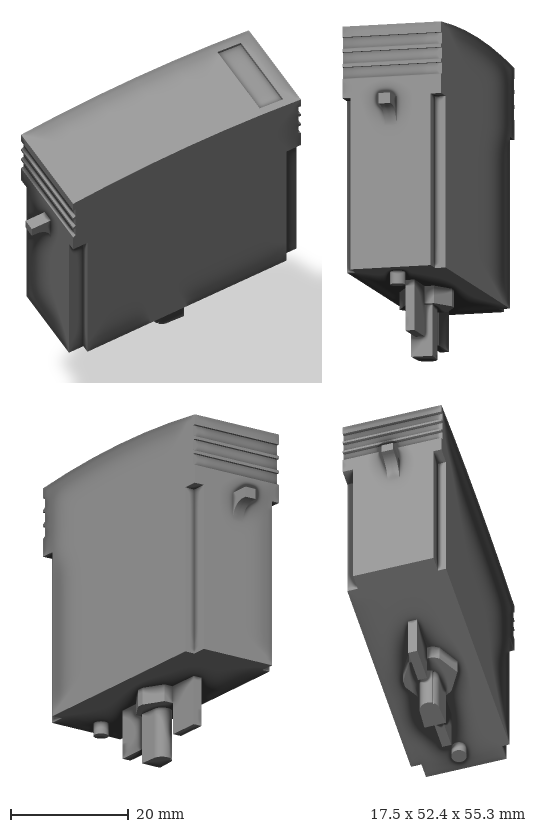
import cadquery as cq
import math

body_width = 17.5
body_depth = 44.9
body_height = 43.35
overall_height = 55.3
crown_radius = 199.95
crown_facets = 6
core_width = 14.2
core_x = 0.2

rebate_depth = 2.8
rebate_height = 29.7

groove_top = 40.25
groove_pitch = 2.6
groove_height = 1.8
groove_depth = 0.5
groove_count = 3
groove_ramp = 0.3

label_length = 4.65
label_y = 17.5
label_depth = 0.5

hook_width = 2.1
hook_reach = 3.75
hook_top = 29.55
hook_thickness = 1.8
hook_radius = 3.0

blade_thickness = 1.6
blade_depth = 6.1
blade_length = 8.75
blade_offset = 7.45
peg_diameter = 2.6
peg_length = 2.2
peg_y = 18.05
boss_across_corners = 9.8
boss_flat_distance = 4.55
boss_height = 3.05
key_length = overall_height - body_height
key_radius = 1.7
key_back_y = 3.3
key_taper = 3.0
key_groove_x = 1.0
key_groove_width = 0.2
key_groove_depth = 0.2

half_width = body_width / 2
half_depth = body_depth / 2
facet_depth = body_depth / crown_facets


def block(x_min, x_max, y_min, y_max, z_min, z_max):
    size = (x_max - x_min, y_max - y_min, z_max - z_min)
    return cq.Workplane("XY").box(*size, centered=False).translate((x_min, y_min, z_min))


def side_profile(profile, width, x_middle):
    """Extrude a closed YZ profile evenly about x_middle."""
    return profile.close().extrude(width / 2, both=True).translate((x_middle, 0, 0))


def front_and_back(feature):
    """A feature made on the front, together with its mirror image on the back."""
    return feature.union(feature.mirror("XZ"))


def crown_z(y):
    """Height of the crown circle at depth position y."""
    return body_height - crown_radius + math.sqrt(crown_radius**2 - y**2)


def crowned_body():
    ridges_y = [half_depth - index * facet_depth for index in range(crown_facets + 1)]
    crown = [(y, crown_z(y)) for y in ridges_y]
    profile = cq.Workplane("YZ").polyline([(-half_depth, 0), (half_depth, 0)] + crown)
    return side_profile(profile, body_width, 0)


def corner_rebates():
    inner_y = -half_depth + rebate_depth
    left = block(-half_width, core_x - core_width / 2, -half_depth, inner_y, 0, rebate_height)
    right = block(core_x + core_width / 2, half_width, -half_depth, inner_y, 0, rebate_height)
    return front_and_back(left.union(right))


def grip_grooves():
    grooves = cq.Workplane("YZ")
    for index in range(groove_count):
        top = groove_top - index * groove_pitch
        profile = cq.Workplane("YZ").polyline([
            (-half_depth, top),
            (-half_depth + groove_depth, top),
            (-half_depth + groove_depth, top - groove_height),
            (-half_depth, top - groove_height - groove_ramp),
        ])
        grooves = grooves.add(side_profile(profile, body_width, 0))
    return front_and_back(grooves.combine())


def label_recess():
    """Pocket with its floor parallel to the rearmost strip of the crown."""
    ridge_y = half_depth - facet_depth
    drop = crown_z(ridge_y) - crown_z(half_depth)
    slope = math.degrees(math.atan2(drop, facet_depth))
    surface_z = crown_z(half_depth) + drop * (half_depth - label_y) / facet_depth
    return (
        cq.Workplane("XY")
        .box(core_width, label_length, 2 * label_depth)
        .rotate((0, 0, 0), (1, 0, 0), -slope)
        .translate((core_x, label_y, surface_z))
    )


def latch_hooks():
    tip_y = -half_depth - hook_reach
    underside = hook_top - hook_thickness
    arc_center_y = -half_depth - hook_radius
    arc_center_z = underside - hook_radius
    arc_middle = hook_radius * math.sqrt(0.5)
    profile = (
        cq.Workplane("YZ")
        .moveTo(-half_depth, hook_top)
        .lineTo(tip_y, hook_top)
        .lineTo(tip_y, underside)
        .lineTo(arc_center_y, underside)
        .threePointArc(
            (arc_center_y + arc_middle, arc_center_z + arc_middle),
            (-half_depth, arc_center_z),
        )
    )
    return front_and_back(side_profile(profile, hook_width, core_x))


def contact_blades():
    return (
        cq.Workplane("XY")
        .pushPoints([(core_x, -blade_offset), (core_x, blade_offset)])
        .rect(blade_thickness, blade_depth)
        .extrude(-blade_length)
    )


def locating_peg():
    return cq.Workplane("XY").center(core_x, peg_y).circle(peg_diameter / 2).extrude(-peg_length)


def hexagonal_boss():
    """Hexagon with every other corner cut flat by a triangle of the same centre."""
    triangle_diameter = 4 * boss_flat_distance
    hexagon = cq.Workplane("XY").polygon(6, boss_across_corners).extrude(-boss_height)
    triangle = cq.Workplane("XY").polygon(3, triangle_diameter).extrude(-boss_height)
    return hexagon.intersect(triangle).translate((core_x, 0, 0))


def coding_key():
    """Key with a round front, tangent flat sides spreading to the back, and a narrow front groove."""
    taper = math.radians(key_taper)
    tangent_x = key_radius * math.cos(taper)
    tangent_y = -key_radius * math.sin(taper)
    back_x = tangent_x + (key_back_y - tangent_y) * math.tan(taper)
    key = (
        cq.Workplane("XY")
        .moveTo(-back_x, key_back_y)
        .lineTo(-tangent_x, tangent_y)
        .threePointArc((0, -key_radius), (tangent_x, tangent_y))
        .lineTo(back_x, key_back_y)
        .close()
        .extrude(-key_length)
    )
    round_y = -math.sqrt(key_radius**2 - key_groove_x**2)
    groove = block(
        key_groove_x - key_groove_width / 2, key_groove_x + key_groove_width / 2,
        -key_radius, round_y + key_groove_depth, -key_length, -boss_height,
    )
    return key.cut(groove).translate((core_x, 0, 0))


body = crowned_body().cut(corner_rebates()).cut(grip_grooves()).cut(label_recess())
result = (
    body.union(latch_hooks())
    .union(contact_blades())
    .union(locating_peg())
    .union(hexagonal_boss())
    .union(coding_key())
)